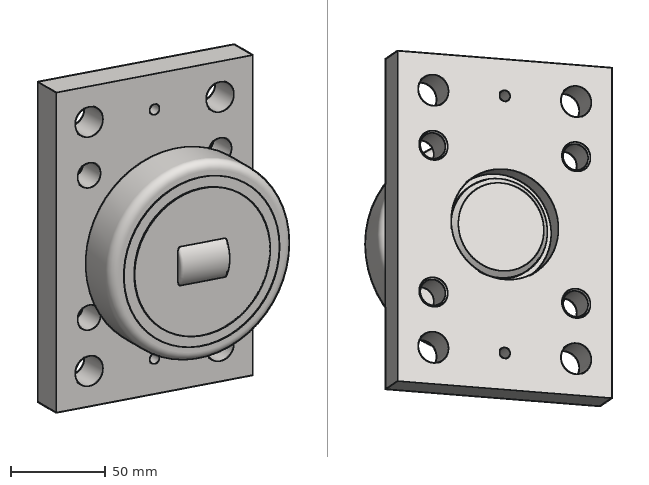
import cadquery as cq

plate_thickness = 20.0
plate_width = 120.0
plate_height = 180.0

bearing_start = 40.1
bearing_end = 70.0
bearing_radius = 55.8
bearing_round = 5.0
neck_radius = 34.7
cover_height = 0.4
cover_radius = 47.5
cover_centre_height = 1.0
cover_centre_radius = 41.4

overall_depth = 75.0
roller_radius = 17.1
roller_length = 30.0
roller_round = 1.6

recess_radius = 30.0
recess_depth = 12.0
stub_radius = 27.0
stub_chamfer = 3.0
stub_height = 6.0

hole_side_offset = 40.0
clearance_hole_diameter = 17.0
clearance_hole_offset = 70.0
threaded_hole_diameter = 14.0
threaded_hole_mouth_diameter = 16.0
threaded_hole_offset = 40.0
pin_hole_diameter = 6.0
countersink_angle = 90


def disc(start_x, length, radius):
    """Cylinder on the X axis."""
    return cq.Workplane("YZ", origin=(start_x, 0, 0)).circle(radius).extrude(length)


def make_plate():
    plate = cq.Workplane("XY").box(plate_thickness, plate_width, plate_height, centered=(False, True, True))

    def back_points(points):
        return plate.faces("<X").workplane(origin=(0, 0, 0)).pushPoints(points)

    clearance_points = corner_points(hole_side_offset, clearance_hole_offset)
    threaded_points = corner_points(hole_side_offset, threaded_hole_offset)
    pin_points = [(0, -clearance_hole_offset), (0, clearance_hole_offset)]

    plate = back_points(clearance_points).hole(clearance_hole_diameter)
    plate = back_points(threaded_points).cskHole(
        threaded_hole_diameter, threaded_hole_mouth_diameter, countersink_angle
    )
    return back_points(pin_points).hole(pin_hole_diameter)


def corner_points(side, height):
    """Four points mirrored about both centre lines."""
    return [(y, z) for y in (-side, side) for z in (-height, height)]


def make_bearing():
    neck = disc(plate_thickness, bearing_start - plate_thickness, neck_radius)
    ring = disc(bearing_start, bearing_end - bearing_start, bearing_radius)
    ring = ring.faces("<X or >X").edges().fillet(bearing_round)

    cover = disc(bearing_end, cover_height, cover_radius)
    cover_centre = disc(bearing_end, cover_centre_height, cover_centre_radius)
    return neck.union(ring).union(cover).union(cover_centre)


def make_cross_roller():
    return (
        cq.Workplane("XZ", origin=(overall_depth - roller_radius, 0, 0))
        .circle(roller_radius)
        .extrude(roller_length / 2, both=True)
        .edges("%CIRCLE")
        .fillet(roller_round)
    )


def make_stub():
    stub = disc(recess_depth - stub_height, stub_height, stub_radius)
    return stub.faces("<X").chamfer(stub_chamfer)


recess = disc(0, recess_depth, recess_radius)
result = make_plate().cut(recess).union(make_stub())
result = result.union(make_bearing()).union(make_cross_roller())